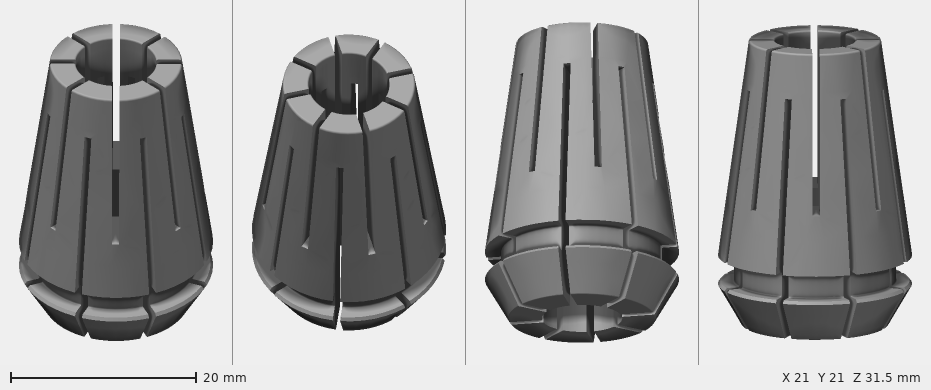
import cadquery as cq
import math

length = 31.5
body_radius = 10.5
bore_radius = 8.73 / 2

nose_angle = 30.0
rim_height = 4.45
rim_chamfer_height = 0.33
rim_chamfer_width = 0.27
nose_edge_radius = 0.15

groove_bottom = rim_height + rim_chamfer_height
groove_top = 7.6
groove_radius = 8.75
groove_fillet = 0.15

body_angle = 8.0
top_edge_radius = 0.25
bore_edge_radius = 0.2

slot_count = 8
slot_width = 0.8
slot_pitch = 360.0 / slot_count
nose_slot_end = 26.55
top_slot_end = 14.05
blade_reach = body_radius + 1.0

nose_radius = body_radius - rim_height * math.tan(math.radians(nose_angle))
top_radius = body_radius - (length - groove_top) * math.tan(math.radians(body_angle))


def edges_at(z, radius):
    """Select the circular edges at height z that are no larger than the given radius."""
    tolerance = 0.01
    reach = radius + tolerance
    return cq.selectors.BoxSelector(
        (-reach, -reach, z - tolerance),
        (reach, reach, z + tolerance),
        boundingbox=True,
    )


def outer_body():
    """Solid of revolution: nose cone, rim, groove and tapered body."""
    outline = (
        cq.Workplane("XZ")
        .moveTo(0, 0)
        .lineTo(nose_radius, 0)
        .lineTo(body_radius, rim_height)
        .lineTo(body_radius - rim_chamfer_width, groove_bottom)
        .lineTo(groove_radius, groove_bottom)
        .lineTo(groove_radius, groove_top)
        .lineTo(body_radius, groove_top)
        .lineTo(top_radius, length)
        .lineTo(0, length)
        .close()
    )
    solid = outline.revolve(360, (0, 0, 0), (0, 1, 0))
    solid = solid.edges(edges_at(0, nose_radius)).fillet(nose_edge_radius)
    solid = solid.edges(edges_at(groove_bottom, groove_radius)).fillet(groove_fillet)
    solid = solid.edges(edges_at(groove_top, groove_radius)).fillet(groove_fillet)
    return solid.edges(edges_at(length, top_radius)).fillet(top_edge_radius)


def bored(solid):
    """Cut the straight through bore and round its top mouth."""
    hole = cq.Workplane("XY").circle(bore_radius).extrude(length)
    return solid.cut(hole).edges(edges_at(length, bore_radius)).fillet(bore_edge_radius)


def slots(z_low, z_high, start_angle):
    """Ring of radial slots; each box crosses the axis and so cuts two opposite slots."""
    blade = (
        cq.Workplane("XY", origin=(0, 0, z_low))
        .rect(2 * blade_reach, slot_width)
        .extrude(z_high - z_low)
    )
    cutter = cq.Workplane("XY")
    for index in range(slot_count // 2):
        angle = start_angle + index * slot_pitch
        cutter = cutter.union(blade.rotate((0, 0, 0), (0, 0, 1), angle))
    return cutter


result = (
    bored(outer_body())
    .cut(slots(0, nose_slot_end, 0))
    .cut(slots(top_slot_end, length, slot_pitch / 2))
)